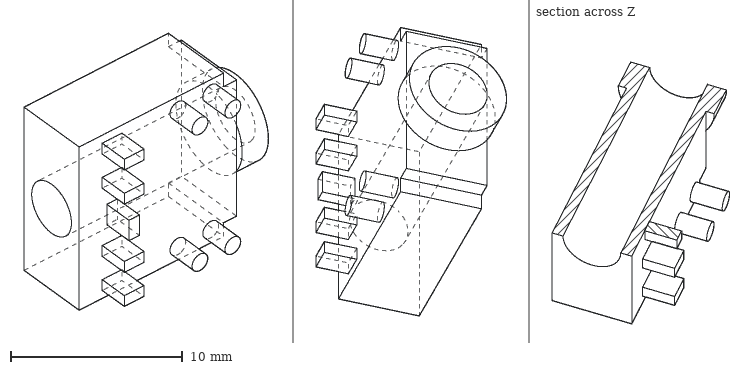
import cadquery as cq

TOTAL_LENGTH = 14.0
HOUSING_WIDTH = 5.0
HOUSING_HEIGHT = 12.0
COLLAR_LENGTH = 2.0
COLLAR_DIAMETER = 6.0
BORE_DIAMETER = 3.6
STEP_SIZE = 1.0

TERMINAL_LENGTH = 2.0
PITCH = 2.5
PEG_DIAMETER = 1.2
BLADE_WIDTH = 1.5
BLADE_THICKNESS = 0.8

housing_length = TOTAL_LENGTH - COLLAR_LENGTH
terminal_base_x = HOUSING_WIDTH / 2
outer_row_z = 2 * PITCH
inner_row_z = PITCH
blade_row_y = PITCH
peg_rows_y = (3 * PITCH, 4 * PITCH)


def y_cylinder(diameter, start_y, length):
    """Cylinder on the bore axis, running toward +Y from start_y."""
    plane = cq.Workplane("XZ", origin=(0, start_y, 0))
    return plane.circle(diameter / 2).extrude(-length)


def make_housing():
    """Housing block and collar as one piece, bored from end to end."""
    main_block = cq.Workplane("XY").box(
        HOUSING_WIDTH, housing_length - STEP_SIZE, HOUSING_HEIGHT, centered=(True, False, True)
    )
    rear_block = cq.Workplane("XY").box(
        HOUSING_WIDTH, housing_length, HOUSING_HEIGHT - 2 * STEP_SIZE, centered=(True, False, True)
    )
    collar = y_cylinder(COLLAR_DIAMETER, housing_length, COLLAR_LENGTH)
    bore = y_cylinder(BORE_DIAMETER, 0, TOTAL_LENGTH)
    return main_block.union(rear_block).union(collar).cut(bore)


def terminal_plane(y, z):
    """Workplane on the +X face of the housing, centred on one terminal."""
    return cq.Workplane("YZ", origin=(terminal_base_x, y, z))


def make_peg(y, z):
    """Round locating peg."""
    return terminal_plane(y, z).circle(PEG_DIAMETER / 2).extrude(TERMINAL_LENGTH)


def make_side_blade(z):
    """Flat contact blade, wide along Y."""
    return terminal_plane(blade_row_y, z).rect(BLADE_WIDTH, BLADE_THICKNESS).extrude(TERMINAL_LENGTH)


def make_center_blade():
    """Contact blade on the bore plane, turned to be wide along Z."""
    return terminal_plane(blade_row_y, 0).rect(BLADE_THICKNESS, BLADE_WIDTH).extrude(TERMINAL_LENGTH)


housing = make_housing()
center_blade = make_center_blade()

pegs = []
for peg_y in peg_rows_y:
    for peg_z in (-outer_row_z, outer_row_z):
        pegs.append(make_peg(peg_y, peg_z).val())

side_blades = []
for blade_z in (-outer_row_z, -inner_row_z, inner_row_z, outer_row_z):
    side_blades.append(make_side_blade(blade_z).val())

result = cq.Compound.makeCompound([housing.val(), center_blade.val(), *pegs, *side_blades])